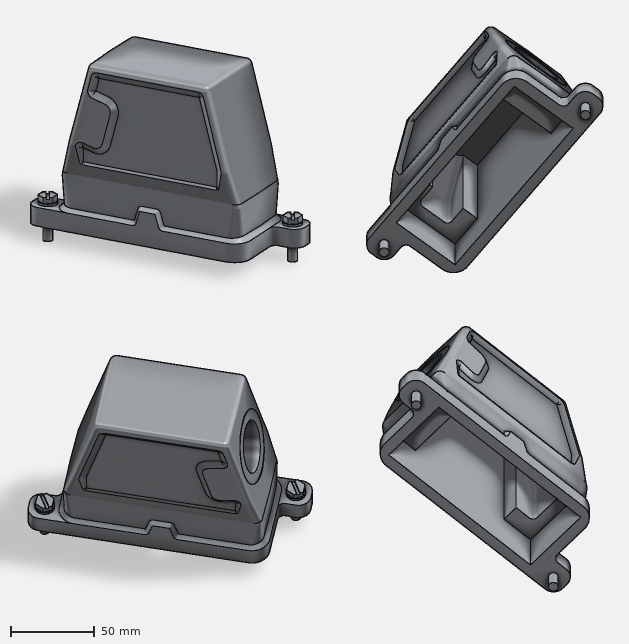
import cadquery as cq
import math


flange_half_x = 64.4
half_width = 29.0
flange_height = 12.0
flange_corner_radius = 10.9
lug_end_x = 82.5
lug_inner_y = 10.2
lug_corner_radius = 7.5
lug_root_radius = 4.1
skirt_rise = 4.1

waist_half_x = 61.4
waist_half_width = 26.5
hood_top = 110.4
end_slope = 15.0
end_crease_z = 35.1
waist_z = 36.5
shoulder_z = 56.3
parting_draft = 1.0
edge_radius = 4.1
end_top_radius = 4.6
rim_z = 33.8
foot_z = 14.5
foot_corner_radius = 8.0

bump_top_z = 24.5
bump_top_half = 7.1
bump_bottom_half = 10.0
bump_foot_half = 14.8
bump_base_z = 8.2
bump_outer_radius = 3.0
bump_inner_radius = 0.5
bump_edge_slope = 45.0

port_z = 76.4
port_diameter = 32.0
seat_diameter = 45.5
seat_depth = 0.5

pocket_top_z = 101.1
pocket_bottom_z = 45.9
pocket_left_x = -44.9
pocket_right_x = 46.0
pocket_margin = 9.2
pocket_wall_taper = 60.0
pad_reach = 27.4
pad_half_height = 19.5
pad_corner_radius = 9.4

wall = 4.1
main_half_x = 35.8
niche_half_width = 11.5
niche_radius = 3.3
niche_crease_z = 62.2
chamber_height = 29.7

screw_x = 73.0
screw_y = 19.5
shank_diameter = 6.0
shank_length = 11.5
washer_diameter = 12.0
washer_height = 1.5
head_flats = 10.2
head_height = 4.0
hex_sides = 6
slot_width = 2.0
slot_depth = 1.3
slot_angle = 120.0

spare = 1.6

slope_tan = math.tan(math.radians(end_slope))
slope_sin = math.sin(math.radians(end_slope))
slope_cos = math.cos(math.radians(end_slope))
draft_tan = math.tan(math.radians(parting_draft))


def end_x(z):
    """Half length of the hood at height z on its sloping part."""
    return waist_half_x - (z - end_crease_z) * slope_tan


def port_point(depth, offset):
    """XZ point at a depth along the port axis and an offset across it."""
    x = -end_x(port_z) + depth * slope_cos + offset * slope_sin
    z = port_z - depth * slope_sin + offset * slope_cos
    return (x, z)


def mirrored(profile):
    """Closed outline symmetric about the vertical axis from its right half."""
    return profile + [(-u, v) for u, v in reversed(profile)]


def flange():
    """Base plate with two diagonal lugs and a sloping step around the hood."""
    half_outline = [
        ((flange_half_x, -half_width), flange_corner_radius),
        ((flange_half_x, lug_inner_y), lug_root_radius),
        ((lug_end_x, lug_inner_y), lug_corner_radius),
        ((lug_end_x, half_width), lug_corner_radius),
    ]
    corners = half_outline + [((-x, -y), radius) for (x, y), radius in half_outline]
    base = cq.Workplane("XY").polyline([point for point, _ in corners]).close().extrude(flange_height)
    for (x, y), radius in corners:
        edge = cq.selectors.NearestToPointSelector((x, y, flange_height / 2))
        base = base.edges(edge).fillet(radius)
    skirt = (
        cq.Workplane("XY")
        .rect(2 * flange_half_x, 2 * half_width)
        .extrude(flange_height + skirt_rise)
        .edges("|Z")
        .fillet(flange_corner_radius)
        .faces(">Z")
        .chamfer(skirt_rise)
    )
    return base.union(skirt)


def upper_hood():
    """Tapered housing above the waist, with all outer edges rounded."""
    outline = mirrored([(end_x(waist_z - spare), waist_z - spare), (end_x(hood_top), hood_top)])
    profile = cq.Sketch().polygon(outline + outline[:1]).vertices(">Y").fillet(end_top_radius).reset()
    half = cq.Workplane("XZ").placeSketch(profile).extrude(half_width + spare, taper=parting_draft)
    block = half.union(half.mirror("XZ"))
    side_lean = (half_width - waist_half_width) / (shoulder_z - waist_z)
    section = mirrored([
        (waist_half_width - spare * side_lean, waist_z - spare),
        (half_width, shoulder_z),
        (half_width, hood_top + spare),
    ])
    block = block.intersect(cq.Workplane("YZ").polyline(section).close().extrude(lug_end_x, both=True))
    room = cq.Workplane("XY", origin=(0, 0, waist_z)).rect(2 * lug_end_x, 2 * lug_end_x)
    block = block.intersect(room.extrude(hood_top))

    def is_rim(edge):
        on_side = abs(edge.Center().y) > waist_half_width - spare
        lengthwise = abs(edge.tangentAt(0.5).x) > 0.99
        on_top = edge.Center().z > hood_top - end_top_radius
        above_waist = edge.Center().z > waist_z + spare
        return on_side and above_waist and (on_top or not lengthwise)

    rim = [edge for edge in block.edges().vals() if is_rim(edge)]
    return block.newObject(rim).fillet(edge_radius)


def hood_section(z, half_x, corner_radius):
    """Rounded outline of the lower hood; the ends have a shallow parting ridge."""
    corner_x = half_x - waist_half_width * draft_tan
    half_points = [(half_x, 0), (corner_x, waist_half_width), (-corner_x, waist_half_width)]
    points = half_points + [(-x, -y) for x, y in half_points]
    outline = cq.Sketch().polygon(points + points[:1]).vertices(">Y or <Y").fillet(corner_radius).reset()
    return outline.moved(cq.Location(cq.Vector(0, 0, z)))


def lower_hood():
    """Base of the hood, whose corners get rounder towards the flange."""
    foot = hood_section(foot_z, waist_half_x, foot_corner_radius)
    root = hood_section(0, waist_half_x, foot_corner_radius)
    rim = hood_section(rim_z, waist_half_x, edge_radius)
    waist = hood_section(waist_z, end_x(waist_z), edge_radius)
    solid = cq.Workplane("XY").placeSketch(root, foot).loft(ruled=True)
    for lower, upper in ((foot, rim), (rim, waist)):
        solid = solid.union(cq.Workplane("XY").placeSketch(lower, upper).loft(ruled=True))
    return solid


def catch_bump():
    """Trapezoidal bump on the -Y side that joins the flange face to the hood wall."""
    outline = mirrored([
        (bump_foot_half, bump_base_z),
        (bump_foot_half, foot_z),
        (bump_bottom_half, foot_z),
        (bump_top_half, bump_top_z),
    ])
    profile = cq.Sketch().polygon(outline + outline[:1]).vertices(">Y").fillet(bump_outer_radius).reset()
    for side in (-1, 1):
        foot = cq.selectors.NearestToPointSelector((side * bump_bottom_half, foot_z, 0))
        profile = profile.vertices(foot).fillet(bump_inner_radius).reset()
    depth = half_width - waist_half_width
    plane = cq.Workplane("XZ", origin=(0, -waist_half_width, 0))
    return plane.placeSketch(profile).extrude(depth, taper=bump_edge_slope)


def port_plane(depth):
    """Workplane across the port axis, facing out of the sloping end."""
    x, z = port_point(depth, 0)
    return cq.Workplane(cq.Plane(origin=(x, 0, z), xDir=(0, -1, 0), normal=(-slope_cos, 0, slope_sin)))


def cable_port():
    """Bore from the sloping end into the cavity, with a flat gland seat around it."""
    bore_depth = (end_x(port_z) - main_half_x / 2) / slope_cos
    bore = port_plane(bore_depth).circle(port_diameter / 2).extrude(bore_depth + spare)
    seat = port_plane(seat_depth).circle(seat_diameter / 2).extrude(spare)
    return bore.union(seat)


def side_pocket():
    """Recess in the -Y side, wrapped around the pad beside the port."""
    left_top_offset = (pocket_top_z - port_z + pocket_margin * slope_sin) / slope_cos
    left_top = port_point(pocket_margin, left_top_offset)
    right_knee_z = pocket_top_z - (pocket_right_x + left_top[0]) / slope_tan
    bend = pad_corner_radius * (1 - math.sqrt(0.5))
    straight_end = pad_reach - pad_corner_radius
    straight_half = pad_half_height - pad_corner_radius
    pad_low_start = (end_x(port_z) + pocket_left_x + pad_half_height * slope_sin) / slope_cos
    floor = (
        cq.Workplane("XZ", origin=(0, -waist_half_width, 0))
        .moveTo(*left_top)
        .lineTo(-left_top[0], pocket_top_z)
        .lineTo(pocket_right_x, right_knee_z)
        .lineTo(pocket_right_x, pocket_bottom_z)
        .lineTo(pocket_left_x, pocket_bottom_z)
        .lineTo(*port_point(pad_low_start, -pad_half_height))
        .lineTo(*port_point(straight_end, -pad_half_height))
        .threePointArc(
            port_point(pad_reach - bend, bend - pad_half_height),
            port_point(pad_reach, -straight_half),
        )
        .lineTo(*port_point(pad_reach, straight_half))
        .threePointArc(
            port_point(pad_reach - bend, pad_half_height - bend),
            port_point(straight_end, pad_half_height),
        )
        .lineTo(*port_point(pocket_margin, pad_half_height))
        .close()
    )
    return floor.extrude(half_width - waist_half_width, taper=-pocket_wall_taper)


def cavity():
    """Hollow inside: wiring space, niche in the far end and plug chamber below."""
    inside_half_width = waist_half_width - wall
    ceiling = hood_top - wall
    end_offset = wall / slope_cos
    space = cq.Workplane("XY").rect(2 * main_half_x, 2 * inside_half_width).extrude(ceiling)
    niche_end = end_x(niche_crease_z) - end_offset
    niche_outline = [
        (0, 0),
        (0, ceiling),
        (end_x(ceiling) - end_offset, ceiling),
        (niche_end, niche_crease_z),
        (niche_end, 0),
    ]
    niche = cq.Workplane("XZ").polyline(niche_outline).close().extrude(niche_half_width, both=True)
    corners = [edge for edge in niche.edges("not |Y").edges("not |X").vals() if edge.Center().x > main_half_x]
    niche = niche.newObject(corners).fillet(niche_radius)
    chamber_half_x = waist_half_x - wall
    chamber = cq.Workplane("XY").rect(2 * chamber_half_x, 2 * inside_half_width).extrude(chamber_height)
    return space.union(niche).union(chamber)


def screw():
    """Slotted hexagon screw with washer, standing on the flange at the origin."""
    shank = cq.Workplane("XY").circle(shank_diameter / 2).extrude(-shank_length - flange_height)
    washer = cq.Workplane("XY").circle(washer_diameter / 2).extrude(washer_height)
    half_side_angle = 180 / hex_sides
    across_corners = head_flats / math.cos(math.radians(half_side_angle))
    head = cq.Workplane("XY").polygon(hex_sides, across_corners).extrude(washer_height + head_height)
    head = head.rotate((0, 0, 0), (0, 0, 1), half_side_angle)
    slot = (
        cq.Workplane("XY", origin=(0, 0, washer_height + head_height - slot_depth))
        .rect(2 * head_flats, slot_width)
        .extrude(2 * slot_depth)
        .rotate((0, 0, 0), (0, 0, 1), slot_angle)
    )
    return shank.union(washer).union(head.cut(slot))


bump = catch_bump()
pocket = side_pocket()
hood = upper_hood().union(lower_hood()).union(flange())
hood = hood.union(bump).union(bump.mirror("XZ"))
hood = hood.cut(pocket).cut(pocket.mirror("XZ"))
hood = hood.cut(cavity()).cut(cable_port())
for side in (-1, 1):
    hood = hood.union(screw().translate((side * screw_x, side * screw_y, flange_height)))
result = hood